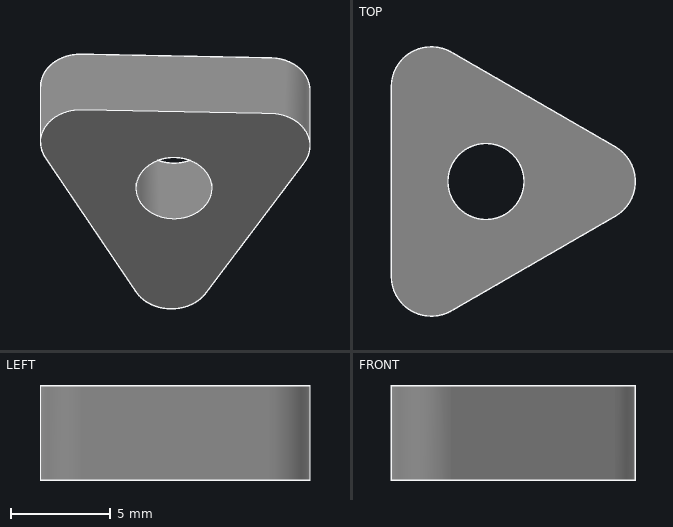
import cadquery as cq
import math

width = 13.57
thickness = 4.76
straight_side = 9.53
hole_diameter = 3.81

corner_radius = (width - straight_side) / 2
center_distance = straight_side / math.sqrt(3)

corner_centers = [
    (center_distance * math.cos(angle), center_distance * math.sin(angle))
    for angle in (0, 2 * math.pi / 3, 4 * math.pi / 3)
]
plate = (
    cq.Workplane("XY")
    .polyline(corner_centers)
    .close()
    .offset2D(corner_radius, "arc")
    .extrude(thickness)
)

result = plate.faces(">Z").workplane(origin=(0, 0, thickness)).hole(hole_diameter)